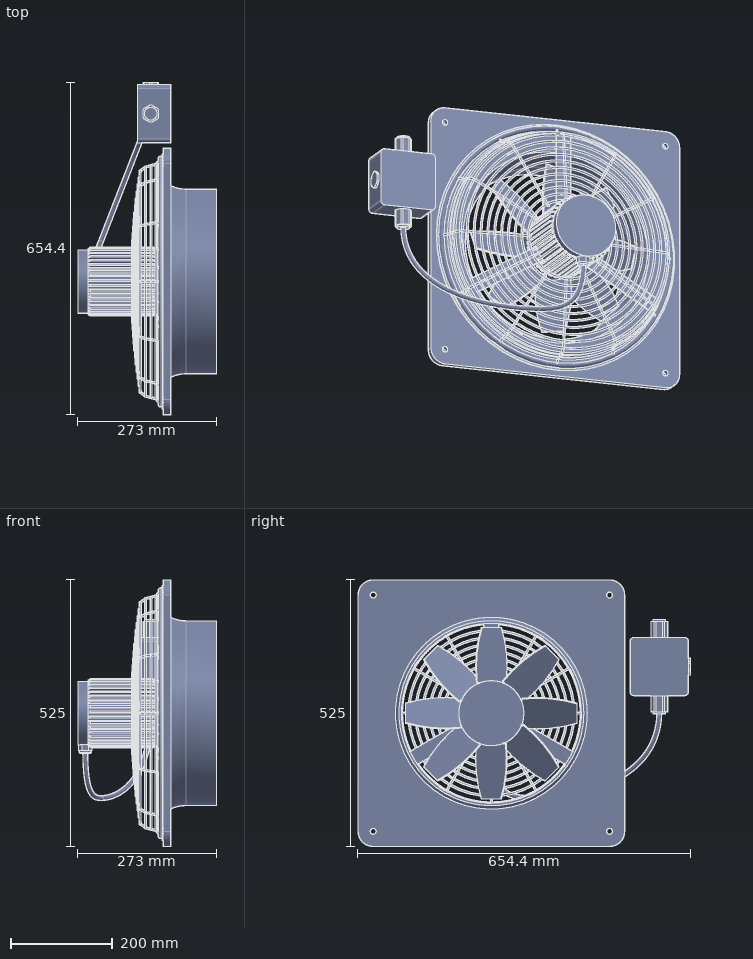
import cadquery as cq
import math


plate_size = 525.0
plate_thickness = 15.0
plate_corner_radius = 30.0
plate_hole_spacing = 465.0
plate_hole_diameter = 11.0
plate_front = -plate_thickness

duct_end = 90.0
duct_straight_start = 30.0
duct_outer_radius = 182.0
duct_wall = 5.0
bellmouth_radius = 70.0

rim_inner_radius = 237.0
rim_outer_radius = 247.0
rim_height = 10.0
rim_flange_radius = 251.0
rim_flange_thickness = 2.0

wire_diameter = 4.0
dome_ring_count = 11
dome_inner_radius = 80.0
dome_ring_pitch = 13.8
dome_apex = -80.0
dome_sphere_radius = 1360.0
side_rings = [(-50.0, 225.5), (-39.0, 228.0), (-29.5, 231.0)]
spoke_count = 12
spoke_setback = 0.5

motor_front = -183.0
motor_cap_radius = 62.5
motor_cap_length = 20.0
motor_core_radius = 60.0
motor_rear = -30.0
fin_count = 40
fin_radius = 68.0
fin_first_angle = -2.25
fin_thickness = 3.5
fin_end_drop = 3.0
fin_end_length = 5.0

strut_count = 3
strut_width = 30.0
strut_thickness = 3.0
strut_rear = -58.0
strut_outer_radius = 217.0

hub_radius = 64.0
hub_rear = 25.0
blade_count = 8
blade_centre_x = -4.0
blade_pitch = 35.0
blade_thickness = 3.0
blade_root_radius = 60.0
blade_mid_radius = 130.0
blade_tip_radius = 169.0
blade_root_width = 57.0
blade_mid_width = 55.0
blade_tip_width = 38.0

box_size = 115.0
box_depth = 66.0
box_corner_radius = 8.0
box_centre_y = 330.4
box_centre_z = 91.8

gland_x = -39.5
gland_across_flats = 31.0
gland_turned_diameter = 33.5
gland_length = 31.5
gland_cap_diameter = 25.0
gland_cap_length = 4.0
plug_length = 4.0

motor_gland_x = -168.5
motor_gland_across_corners = 27.0
motor_gland_top = -55.0
motor_gland_hex_bottom = -73.5
motor_gland_cap_diameter = 24.0
motor_gland_cap_length = 6.0
motor_gland_cap_chamfer = 2.0

cable_diameter = 10.0
cable_low_y = 80.0
cable_low_z = -167.0
motor_end_droop_z = -161.0
motor_end_reach = 40.0
box_end_reach = 80.0
box_end_droop_z = -138.0


def revolve_about_axis(profile):
    """Revolve a closed (X, radius) profile about the fan axis."""
    return profile.revolve(360, (0, 0, 0), (1, 0, 0))


def tube(x_start, x_end, radius):
    """Solid cylinder along the fan axis."""
    return cq.Workplane("YZ", origin=(x_start, 0, 0)).circle(radius).extrude(x_end - x_start)


def around_axis(body, count, first_angle=0.0):
    """Evenly spaced copies of a body turned about the fan axis."""
    return [body.rotate((0, 0, 0), (1, 0, 0), first_angle + i * 360.0 / count) for i in range(count)]


def fuse(first, others):
    """Join several bodies to the first in one operation."""
    return cq.Workplane(first.val().fuse(*[body.val() for body in others]))


def bellmouth_rise(x, radius):
    """How far a bellmouth arc of the given radius has flared at X."""
    run = duct_straight_start - x
    return radius - math.sqrt(radius**2 - run**2)


def bellmouth_profile(end_x, straight_radius, arc_radius):
    """Area from the fan axis out to a duct surface, closed along the axis."""
    middle_x = (plate_front + duct_straight_start) / 2
    front_radius = straight_radius + bellmouth_rise(plate_front, arc_radius)
    middle_radius = straight_radius + bellmouth_rise(middle_x, arc_radius)
    return (
        cq.Workplane("XY")
        .moveTo(plate_front, 0)
        .lineTo(plate_front, front_radius)
        .threePointArc((middle_x, middle_radius), (duct_straight_start, straight_radius))
        .lineTo(end_x, straight_radius)
        .lineTo(end_x, 0)
        .close()
    )


def make_plate_and_duct():
    plate = (
        cq.Workplane("YZ")
        .rect(plate_size, plate_size)
        .extrude(plate_front)
        .edges("|X")
        .fillet(plate_corner_radius)
    )
    holes = (
        cq.Workplane("YZ")
        .rect(plate_hole_spacing, plate_hole_spacing, forConstruction=True)
        .vertices()
        .circle(plate_hole_diameter / 2)
        .extrude(plate_front)
    )
    outside = revolve_about_axis(bellmouth_profile(duct_end, duct_outer_radius, bellmouth_radius))
    inside = revolve_about_axis(
        bellmouth_profile(duct_end, duct_outer_radius - duct_wall, bellmouth_radius - duct_wall)
    )
    return plate.cut(holes).union(outside).cut(inside)


def make_rim():
    """Ring with a half-round front on a thin flange."""
    round_radius = (rim_outer_radius - rim_inner_radius) / 2
    rim_front = plate_front - rim_height
    flange_front = plate_front - rim_flange_thickness
    return revolve_about_axis(
        cq.Workplane("XY")
        .moveTo(plate_front, rim_inner_radius)
        .lineTo(rim_front + round_radius, rim_inner_radius)
        .threePointArc(
            (rim_front, rim_inner_radius + round_radius),
            (rim_front + round_radius, rim_outer_radius),
        )
        .lineTo(flange_front, rim_outer_radius)
        .lineTo(flange_front, rim_flange_radius)
        .lineTo(plate_front, rim_flange_radius)
        .close()
    )


def dome_x(radius):
    """X of the dome's wire centres at a distance from the fan axis."""
    sphere_rise = dome_sphere_radius - math.sqrt(dome_sphere_radius**2 - radius**2)
    return dome_apex + wire_diameter / 2 + sphere_rise


def make_ring_arc(x, radius):
    """The piece of a guard ring that belongs to one spoke, centred on that spoke."""
    turn = 360.0 / spoke_count
    arc = cq.Workplane("XY").moveTo(x, radius).circle(wire_diameter / 2).revolve(turn, (0, 0, 0), (1, 0, 0))
    return arc.rotate((0, 0, 0), (1, 0, 0), -turn / 2)


def make_straight_wire(start, end):
    """A straight stretch of a spoke with a ball over its bend at the start."""
    radius = wire_diameter / 2
    bend = cq.Solid.makeSphere(radius, start, cq.Vector(0, 0, 1), -90, 90, 360)
    stretch = cq.Solid.makeCylinder(radius, (end - start).Length, start, end - start)
    return cq.Workplane(bend.fuse(stretch))


def make_spoke():
    """One wire: along the dome, over its shoulder, past the side rings and into the rim."""
    start_radius = dome_inner_radius - wire_diameter
    dome_outer_radius = dome_inner_radius + (dome_ring_count - 1) * dome_ring_pitch
    bends = [(dome_x(radius), radius) for radius in (start_radius, dome_outer_radius)]
    bends += [side_rings[0], side_rings[-1]]
    points = [cq.Vector(x + spoke_setback, radius, 0) for x, radius in bends]
    rim_middle = (rim_inner_radius + rim_outer_radius) / 2
    points.append(cq.Vector(plate_front - rim_height / 2, rim_middle, 0))
    stretches = [make_straight_wire(start, end) for start, end in zip(points, points[1:])]
    return fuse(stretches[0], stretches[1:])


def make_guard():
    """Rings and spokes, made as one sector per spoke and glued end to end."""
    dome_radii = [dome_inner_radius + i * dome_ring_pitch for i in range(dome_ring_count)]
    rings = [(dome_x(radius), radius) for radius in dome_radii] + side_rings
    sector = fuse(make_spoke(), [make_ring_arc(x, radius) for x, radius in rings])
    sectors = [copy.val() for copy in around_axis(sector, spoke_count)]
    return cq.Workplane(sectors[0].fuse(*sectors[1:], glue=True)).clean()


def make_motor():
    cap_rear = motor_front + motor_cap_length
    cap = tube(motor_front, cap_rear, motor_cap_radius)
    core = tube(cap_rear, motor_rear, motor_core_radius)
    fin = (
        cq.Workplane("XZ", origin=(0, fin_thickness / 2, 0))
        .moveTo(cap_rear, motor_core_radius / 2)
        .lineTo(cap_rear, fin_radius - fin_end_drop)
        .lineTo(cap_rear + fin_end_length, fin_radius)
        .lineTo(motor_rear - fin_end_length, fin_radius)
        .lineTo(motor_rear, fin_radius - fin_end_drop)
        .lineTo(motor_rear, motor_core_radius / 2)
        .close()
        .extrude(fin_thickness)
    )
    return fuse(core, [cap] + around_axis(fin, fin_count, fin_first_angle))


def make_struts():
    inner_radius = motor_core_radius / 2
    strut = cq.Workplane("XY").box(
        strut_thickness, strut_width, strut_outer_radius - inner_radius, centered=(False, True, False)
    )
    strut = strut.translate((strut_rear - strut_thickness, 0, inner_radius))
    return around_axis(strut, strut_count)


def make_impeller():
    stretch = 1 / math.cos(math.radians(blade_pitch))
    root = blade_root_width / 2 * stretch
    middle = blade_mid_width / 2 * stretch
    tip = blade_tip_width / 2 * stretch
    blade = (
        cq.Workplane("YZ", origin=(-blade_thickness / 2, 0, 0))
        .moveTo(-root, blade_root_radius)
        .threePointArc((-middle, blade_mid_radius), (-tip, blade_tip_radius))
        .lineTo(tip, blade_tip_radius)
        .threePointArc((middle, blade_mid_radius), (root, blade_root_radius))
        .close()
        .extrude(blade_thickness)
        .rotate((0, 0, 0), (0, 0, 1), blade_pitch)
        .translate((blade_centre_x, 0, 0))
    )
    return fuse(tube(motor_rear, hub_rear, hub_radius), around_axis(blade, blade_count))


def turned_hexagon(length):
    """Hexagonal prism along +Z with flats facing X and its corners turned to a circle."""
    hexagon = cq.Workplane("XY").polygon(6, gland_across_flats / math.cos(math.pi / 6)).extrude(length)
    hexagon = hexagon.rotate((0, 0, 0), (0, 0, 1), 30)
    return hexagon.intersect(cq.Workplane("XY").circle(gland_turned_diameter / 2).extrude(length))


def make_terminal_box():
    half_size = box_size / 2
    box = (
        cq.Workplane("XY")
        .box(box_depth, box_size, box_size)
        .edges("|X")
        .fillet(box_corner_radius)
        .translate((-box_depth / 2, box_centre_y, box_centre_z))
    )
    cap = cq.Workplane("XY").circle(gland_cap_diameter / 2).extrude(gland_length + gland_cap_length)
    gland = turned_hexagon(gland_length).union(cap)
    upper_gland = gland.translate((gland_x, box_centre_y, box_centre_z + half_size))
    lower_gland = gland.rotate((0, 0, 0), (1, 0, 0), 180).translate(
        (gland_x, box_centre_y, box_centre_z - half_size)
    )
    plug = (
        turned_hexagon(plug_length)
        .rotate((0, 0, 0), (1, 0, 0), -90)
        .translate((gland_x, box_centre_y + half_size, box_centre_z))
    )
    return fuse(box, [upper_gland, lower_gland, plug])


def make_motor_gland():
    hexagon = (
        cq.Workplane("XY", origin=(motor_gland_x, 0, motor_gland_hex_bottom))
        .polygon(6, motor_gland_across_corners)
        .extrude(motor_gland_top - motor_gland_hex_bottom)
    )
    cap = (
        cq.Workplane("XY", origin=(motor_gland_x, 0, motor_gland_hex_bottom))
        .circle(motor_gland_cap_diameter / 2)
        .extrude(-motor_gland_cap_length)
        .faces("<Z")
        .edges()
        .chamfer(motor_gland_cap_chamfer)
    )
    return hexagon.union(cap)


def make_cable():
    """Round cable hanging in the upright plane through both glands."""
    start_z = motor_gland_hex_bottom
    end_z = box_centre_z - box_size / 2 - gland_length
    x_per_y = (gland_x - motor_gland_x) / box_centre_y

    def point(y, z):
        return cq.Vector(motor_gland_x + y * x_per_y, y, z)

    low_point = point(cable_low_y, cable_low_z)
    motor_half = cq.Edge.makeBezier(
        [
            point(0, start_z),
            point(0, motor_end_droop_z),
            point(cable_low_y - motor_end_reach, cable_low_z),
            low_point,
        ]
    )
    box_half = cq.Edge.makeBezier(
        [
            low_point,
            point(cable_low_y + box_end_reach, cable_low_z),
            point(box_centre_y, box_end_droop_z),
            point(box_centre_y, end_z),
        ]
    )
    section = cq.Workplane("XY", origin=(motor_gland_x, 0, start_z)).circle(cable_diameter / 2)
    return section.sweep(cq.Workplane(cq.Wire.assembleEdges([motor_half, box_half])))


motor = fuse(make_motor(), [make_impeller(), make_motor_gland()] + make_struts())
electrics = make_terminal_box().union(make_cable())
result = fuse(make_plate_and_duct(), [make_rim(), make_guard(), motor, electrics])